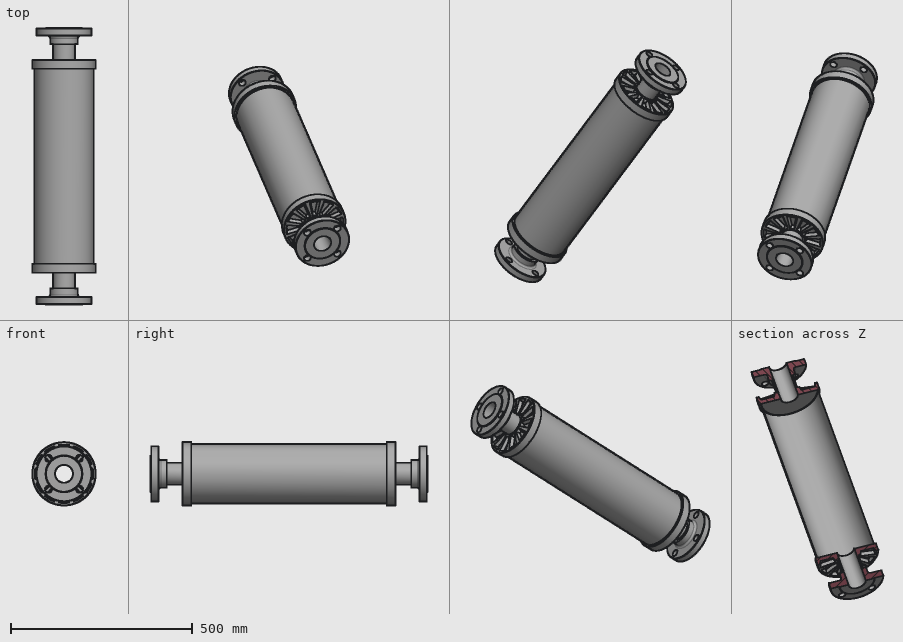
import cadquery as cq
import math

total_length = 762.0
raised_face_height = 1.5
flange_inner_station = 22.0
neck_end_station = 45.0
cap_outer_station = 88.0
cap_thickness = 25.0

bore_diameter = 49.0
raised_face_diameter = 98.0
raised_face_base_diameter = 102.0
flange_diameter = 152.5
neck_diameter = 77.0
pipe_diameter = 61.0
cap_diameter = 175.0
tube_outer_diameter = 164.5
tube_inner_diameter = 160.0

neck_fillet_radius = 6.0
edge_chamfer = 1.15

bolt_hole_diameter = 19.0
bolt_circle_diameter = 120.5
bolt_hole_count = 4

pocket_count = 12
pocket_outer_diameter = 161.5
pocket_hub_diameter = 72.0
pocket_depth = 11.0
pocket_draft_angle = 22
spoke_half_angle = 4.4

half_length = total_length / 2
cap_inner_station = cap_outer_station + cap_thickness
tube_length = total_length - 2 * cap_inner_station


def cylinder(diameter, start, end):
    """Solid cylinder along +Y between two stations."""
    plane = cq.Workplane("XZ", origin=(0, start, 0))
    return plane.circle(diameter / 2).extrude(start - end)


def pocket():
    """One sector-shaped pocket centred on +Z, narrowing towards its floor."""
    half_angle = math.radians(180 / pocket_count - spoke_half_angle)
    hub_radius = pocket_hub_diameter / 2
    rim_radius = pocket_outer_diameter / 2
    hub_x = hub_radius * math.sin(half_angle)
    hub_z = hub_radius * math.cos(half_angle)
    rim_x = rim_radius * math.sin(half_angle)
    rim_z = rim_radius * math.cos(half_angle)
    return (
        cq.Workplane("XZ", origin=(0, cap_outer_station, 0))
        .moveTo(-hub_x, hub_z)
        .lineTo(-rim_x, rim_z)
        .threePointArc((0, rim_radius), (rim_x, rim_z))
        .lineTo(hub_x, hub_z)
        .threePointArc((0, hub_radius), (-hub_x, hub_z))
        .close()
        .extrude(-pocket_depth, taper=pocket_draft_angle)
    )


def spoked_cap():
    """Round cap with a ring of pockets in its outer face."""
    cap = cylinder(cap_diameter, cap_outer_station, cap_inner_station)
    cap = cap.faces("<Y").edges().chamfer(edge_chamfer)
    for index in range(pocket_count):
        angle = index * 360 / pocket_count
        cap = cap.cut(pocket().rotate((0, 0, 0), (0, 1, 0), angle))
    return cap


def bolt_holes():
    """Cutter for the bolt holes, set on the diagonals."""
    return (
        cq.Workplane("XZ")
        .polarArray(bolt_circle_diameter / 2, 180 / bolt_hole_count, 360, bolt_hole_count)
        .circle(bolt_hole_diameter / 2)
        .extrude(-flange_inner_station)
    )


def raised_face():
    """Low gasket face with a bevelled edge."""
    return (
        cq.Workplane("XY")
        .lineTo(raised_face_diameter / 2, 0)
        .lineTo(raised_face_base_diameter / 2, raised_face_height)
        .lineTo(0, raised_face_height)
        .close()
        .revolve(360, (0, 0, 0), (0, 1, 0))
    )


def neck_fillet():
    """Ring with a concave quarter-round that blends the neck into the flange."""
    neck_radius = neck_diameter / 2
    fillet_top = flange_inner_station + neck_fillet_radius
    fillet_outer = neck_radius + neck_fillet_radius
    inset = neck_fillet_radius * (1 - math.sqrt(0.5))
    return (
        cq.Workplane("XY")
        .moveTo(pipe_diameter / 2, flange_inner_station)
        .lineTo(fillet_outer, flange_inner_station)
        .threePointArc((neck_radius + inset, flange_inner_station + inset), (neck_radius, fillet_top))
        .lineTo(pipe_diameter / 2, fillet_top)
        .close()
        .revolve(360, (0, 0, 0), (0, 1, 0))
    )


def end_fitting(side):
    """Flange, neck, pipe and cap in one piece; side is -1 for the -Y end and +1 for the +Y end."""
    flange_disc = cylinder(flange_diameter, raised_face_height, flange_inner_station)
    fitting = (
        raised_face()
        .union(flange_disc.edges().chamfer(edge_chamfer))
        .union(cylinder(neck_diameter, flange_inner_station, neck_end_station))
        .union(neck_fillet())
        .union(cylinder(pipe_diameter, neck_end_station, cap_outer_station))
        .union(spoked_cap())
        .cut(cylinder(bore_diameter, 0, cap_inner_station))
        .cut(bolt_holes())
        .translate((0, -half_length, 0))
    )
    if side > 0:
        fitting = fitting.rotate((0, 0, 0), (0, 0, 1), 180)
    return fitting


def column_tube():
    """Hollow tube that fills the space between the two caps."""
    return (
        cq.Workplane("XZ", origin=(0, -tube_length / 2, 0))
        .circle(tube_outer_diameter / 2)
        .circle(tube_inner_diameter / 2)
        .extrude(-tube_length)
    )


tube = column_tube()
end_fittings = [end_fitting(side) for side in (-1, 1)]

result = cq.Compound.makeCompound([tube.val(), *[fitting.val() for fitting in end_fittings]])